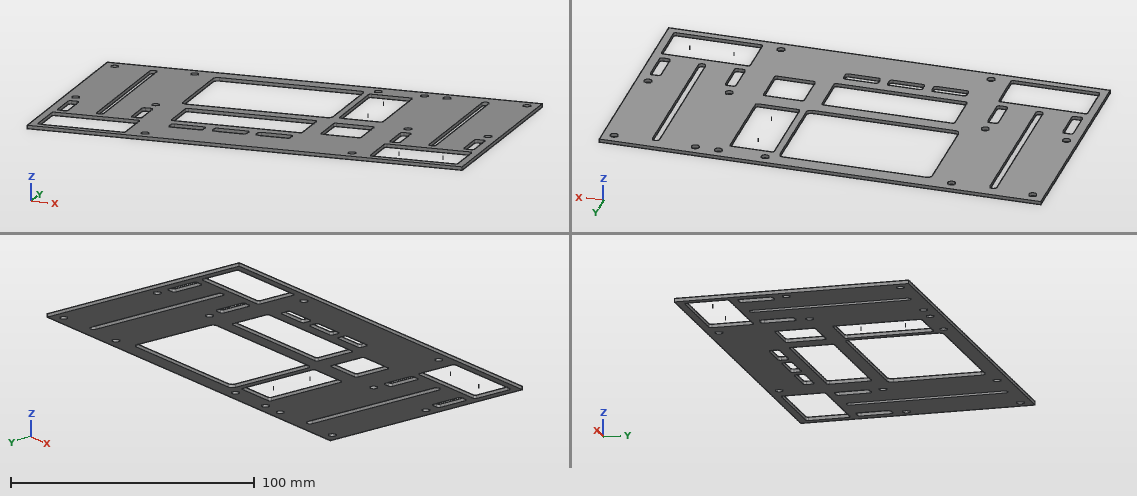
import cadquery as cq

PANEL_LENGTH = 189.1
PANEL_WIDTH = 100.0
THICKNESS = 1.5

SCREW_DIAMETER = 3.2
EDGE_MARGIN = 5.0
SCREW_X = PANEL_LENGTH / 2 - EDGE_MARGIN
SCREW_Y = PANEL_WIDTH / 2 - EDGE_MARGIN
CENTRE_SCREW_X = 45.0
EXTRA_SCREW_X = 25.0

SLIDER_X = 72.2
SLIDER_Y = 10.2
SLIDER_LENGTH = 68.8
SLIDER_WIDTH = 3.0
SLIDER_SCREW_LOW_Y = -3.5
SLIDER_SCREW_OFFSET = SCREW_X - SLIDER_X

BUTTON_LENGTH = 15.0
BUTTON_WIDTH = 4.5
BUTTON_RADIUS = 1.1
SIDE_BUTTON_OFFSET = 16.0
SIDE_BUTTON_Y = -16.8
ROW_BUTTON_COUNT = 3
ROW_BUTTON_PITCH = 19.0
ROW_BUTTON_Y = -30.6

DISPLAY_X = -12.9
DISPLAY_Y = 22.3
DISPLAY_LENGTH = 65.2
DISPLAY_WIDTH = 41.8
DISPLAY_RADIUS = 2.0
READOUT_Y = -14.0
READOUT_LENGTH = 57.0
READOUT_WIDTH = 19.1
WINDOW_RADIUS = 1.0
SQUARE_X = 32.1
SQUARE_Y = -14.0
SQUARE_SIDE = 17.4

WIRED_LENGTH = 38.0
WIRED_WIDTH = 19.0
LOW_WIRED_Y = -37.3
UPRIGHT_WIRED_X = 32.1
UPRIGHT_WIRED_Y = 21.4

WIRE_DIAMETER = 0.02
WIRE_PITCH = WIRED_LENGTH / 2


def window(x, y, size_x, size_y, radius):
    """Cutter for a rectangular opening with rounded corners, centred at (x, y)."""
    block = cq.Workplane("XY").center(x, y).rect(size_x, size_y).extrude(THICKNESS)
    return block.edges("|Z").fillet(radius)


def screw_points():
    """Centres of all the screw holes."""
    points = [(EXTRA_SCREW_X, SCREW_Y), (CENTRE_SCREW_X, SCREW_Y)]
    for side in (-1, 1):
        points.append((side * CENTRE_SCREW_X, -SCREW_Y))
        for offset in (-SLIDER_SCREW_OFFSET, SLIDER_SCREW_OFFSET):
            x = side * (SLIDER_X + offset)
            points += [(x, SCREW_Y), (x, SLIDER_SCREW_LOW_Y)]
    return points


def slider_points():
    """Centres of the two long slider slots."""
    return [(side * SLIDER_X, SLIDER_Y) for side in (-1, 1)]


def windows():
    """Cutters for every rectangular opening of the panel."""
    cutters = [
        window(DISPLAY_X, DISPLAY_Y, DISPLAY_LENGTH, DISPLAY_WIDTH, DISPLAY_RADIUS),
        window(DISPLAY_X, READOUT_Y, READOUT_LENGTH, READOUT_WIDTH, WINDOW_RADIUS),
        window(SQUARE_X, SQUARE_Y, SQUARE_SIDE, SQUARE_SIDE, WINDOW_RADIUS),
        window(UPRIGHT_WIRED_X, UPRIGHT_WIRED_Y, WIRED_WIDTH, WIRED_LENGTH, WINDOW_RADIUS),
    ]
    for side in (-1, 1):
        cutters.append(window(side * SLIDER_X, LOW_WIRED_Y, WIRED_LENGTH, WIRED_WIDTH, WINDOW_RADIUS))
        for offset in (-SIDE_BUTTON_OFFSET, SIDE_BUTTON_OFFSET):
            x = side * (SLIDER_X + offset)
            cutters.append(window(x, SIDE_BUTTON_Y, BUTTON_WIDTH, BUTTON_LENGTH, BUTTON_RADIUS))
    for index in range(ROW_BUTTON_COUNT):
        x = DISPLAY_X + (index - (ROW_BUTTON_COUNT - 1) / 2) * ROW_BUTTON_PITCH
        cutters.append(window(x, ROW_BUTTON_Y, BUTTON_LENGTH, BUTTON_WIDTH, BUTTON_RADIUS))
    return cutters


def make_panel():
    """Flat panel with its screw holes, slider slots and windows."""
    panel = (
        cq.Workplane("XY")
        .rect(PANEL_LENGTH, PANEL_WIDTH)
        .extrude(THICKNESS)
    )
    screw_holes = cq.Workplane("XY").pushPoints(screw_points()).circle(SCREW_DIAMETER / 2).extrude(THICKNESS)
    sliders = cq.Workplane("XY").pushPoints(slider_points()).slot2D(SLIDER_LENGTH, SLIDER_WIDTH, 90)
    panel = panel.cut(screw_holes).cut(sliders.extrude(THICKNESS))
    for cutter in windows():
        panel = panel.cut(cutter)
    return panel


def make_wire(x, y):
    """One thin upright wire as tall as the panel is thick."""
    return cq.Workplane("XY").center(x, y).circle(WIRE_DIAMETER / 2).extrude(THICKNESS)


panel = make_panel()

wires = []
for step in (-WIRE_PITCH / 2, WIRE_PITCH / 2):
    wires.append(make_wire(UPRIGHT_WIRED_X, UPRIGHT_WIRED_Y + step))
    wires.append(make_wire(SLIDER_X + step, LOW_WIRED_Y))

result = cq.Compound.makeCompound([panel.val(), *[wire.val() for wire in wires]])